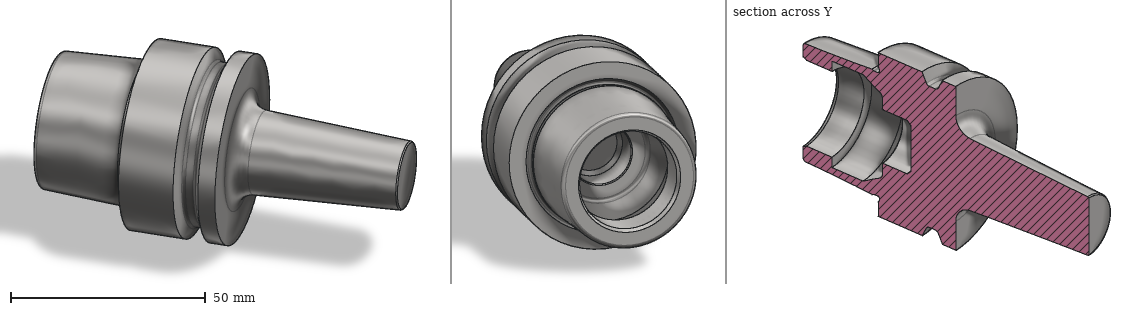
import cadquery as cq
import math


total_length = 94.9
taper_end = 23.0
flange_start = 25.0
flange_end = 50.8

taper_end_radius = 19.2
taper_slope = 1 / 20
taper_nose_round = 0.95
collar_radius = 18.9
collar_relief_run = 0.7
relief_blend_radius = 0.6

undercut_mouth_radius = 20.5
undercut_flank_start_radius = 19.9
undercut_flank_angle = math.radians(30)

flange_diameter = 50.0
flange_radius = flange_diameter / 2
groove_start = 39.6
groove_end = 46.2
groove_floor_radius = 21.5
groove_flank_run = 1.7
groove_corner_round = 0.95

shank_angle = math.radians(3)
shank_blend_radius = 5.0
shank_tip_radius = 9.0
tip_chamfer_length = 0.4
tip_chamfer_depth = 0.3

lip_radius = 13.0
lip_end = 9.7
mouth_radius = 13.7
mouth_chamfer_length = 1.2
chamber_radius = 16.1
chamber_floor_radius = 11.8
chamber_cone_start = 20.0
chamber_cone_angle = math.radians(30)
chamber_corner_radius = 1.3
pilot_radius = 8.1
pilot_chamfer = 0.3
pilot_floor_radius = 6.9
pilot_depth = 9.5


def polar(center, radius, angle):
    """Point at an angle (from +X) on a circle in the profile plane."""
    return (center[0] + radius * math.cos(angle), center[1] + radius * math.sin(angle))


def revolve_profile(profile):
    """Close a profile of (x, radius) points and turn it about the X axis."""
    return profile.close().revolve(360, (0, 0, 0), (1, 0, 0))


def make_flange():
    """Plain disc with the gripper groove turned out of it."""
    disc = revolve_profile(
        cq.Workplane("XY")
        .moveTo(flange_start, 0)
        .lineTo(flange_start, flange_radius)
        .lineTo(flange_end, flange_radius)
        .lineTo(flange_end, 0)
    )
    groove = revolve_profile(
        cq.Workplane("XY")
        .moveTo(groove_start, flange_radius)
        .lineTo(groove_start + groove_flank_run, groove_floor_radius)
        .lineTo(groove_end - groove_flank_run, groove_floor_radius)
        .lineTo(groove_end, flange_radius)
    )
    floor_corners = cq.selectors.RadiusNthSelector(0)
    groove = groove.edges(floor_corners).fillet(groove_corner_round)

    return disc.cut(groove)


def make_undercut():
    """Ring cavity: rounded corner against the collar, then a flank sloping back to the flange face."""
    sweep = math.pi / 2 + undercut_flank_angle
    corner_radius = (undercut_flank_start_radius - collar_radius) / (1 + math.sin(undercut_flank_angle))
    flank_height = undercut_mouth_radius - undercut_flank_start_radius
    flank_start = flange_start + flank_height * math.tan(undercut_flank_angle)
    corner_center = (
        flank_start - corner_radius * math.cos(undercut_flank_angle),
        collar_radius + corner_radius,
    )
    return revolve_profile(
        cq.Workplane("XY")
        .moveTo(corner_center[0], collar_radius)
        .threePointArc(
            polar(corner_center, corner_radius, (sweep - math.pi) / 2),
            (flank_start, undercut_flank_start_radius),
        )
        .lineTo(flange_start, undercut_mouth_radius)
        .lineTo(corner_center[0], undercut_mouth_radius)
    )


def make_taper():
    """Outer taper with a rounded nose, and the relieved collar behind it."""
    nose_radius = taper_end_radius - taper_end * taper_slope
    taper = revolve_profile(
        cq.Workplane("XY")
        .lineTo(0, nose_radius)
        .lineTo(taper_end, taper_end_radius)
        .lineTo(taper_end, 0)
    )
    taper = taper.faces("<X").edges().fillet(taper_nose_round)

    relief_drop = taper_end_radius - collar_radius
    relief_angle = math.atan2(relief_drop, collar_relief_run)
    relief_end = taper_end + collar_relief_run
    tangent_length = relief_blend_radius * math.tan(relief_angle / 2)
    collar = revolve_profile(
        cq.Workplane("XY")
        .moveTo(taper_end, 0)
        .lineTo(taper_end, taper_end_radius)
        .lineTo(
            relief_end - tangent_length * math.cos(relief_angle),
            collar_radius + tangent_length * math.sin(relief_angle),
        )
        .tangentArcPoint((relief_end + tangent_length, collar_radius), relative=False)
        .lineTo(flange_end, collar_radius)
        .lineTo(flange_end, 0)
    )
    return taper.union(collar)


def make_shank():
    """Conical shank with a concave blend at the flange and a chamfered tip."""
    cone_end = total_length - tip_chamfer_length
    blend_center_x = flange_end + shank_blend_radius
    tangent_x = blend_center_x - shank_blend_radius * math.sin(shank_angle)
    tangent_radius = shank_tip_radius + (cone_end - tangent_x) * math.tan(shank_angle)
    blend_center = (blend_center_x, tangent_radius + shank_blend_radius * math.cos(shank_angle))
    blend_sweep = math.pi / 2 - shank_angle
    return revolve_profile(
        cq.Workplane("XY")
        .moveTo(flange_end, 0)
        .lineTo(flange_end, blend_center[1])
        .threePointArc(
            polar(blend_center, shank_blend_radius, math.pi + blend_sweep / 2),
            (tangent_x, tangent_radius),
        )
        .lineTo(cone_end, shank_tip_radius)
        .lineTo(total_length, shank_tip_radius - tip_chamfer_depth)
        .lineTo(total_length, 0)
    )


def make_bore():
    """Cavity: chamfered lip, coned chamber with a rounded floor corner, blind pilot hole."""
    corner_sweep = math.pi / 2 - chamber_cone_angle
    cone_end_radius = chamber_floor_radius + chamber_corner_radius * math.sin(corner_sweep)
    cone_length = (chamber_radius - cone_end_radius) / math.tan(chamber_cone_angle)
    cone_end = chamber_cone_start + cone_length
    corner_center = (
        cone_end - chamber_corner_radius * math.cos(corner_sweep),
        chamber_floor_radius,
    )
    chamber_floor = corner_center[0] + chamber_corner_radius
    pilot_end = chamber_floor + pilot_depth
    pilot_cone_length = pilot_radius - pilot_floor_radius
    return revolve_profile(
        cq.Workplane("XY")
        .lineTo(0, mouth_radius)
        .lineTo(mouth_chamfer_length, lip_radius)
        .lineTo(lip_end, lip_radius)
        .lineTo(lip_end, chamber_radius)
        .lineTo(chamber_cone_start, chamber_radius)
        .lineTo(cone_end, cone_end_radius)
        .threePointArc(
            polar(corner_center, chamber_corner_radius, corner_sweep / 2),
            (chamber_floor, chamber_floor_radius),
        )
        .lineTo(chamber_floor, pilot_radius + pilot_chamfer)
        .lineTo(chamber_floor + pilot_chamfer, pilot_radius)
        .lineTo(pilot_end - pilot_cone_length, pilot_radius)
        .lineTo(pilot_end, pilot_floor_radius)
        .lineTo(pilot_end, 0)
    )


body = make_flange().union(make_taper()).union(make_shank())
result = body.cut(make_undercut()).cut(make_bore())